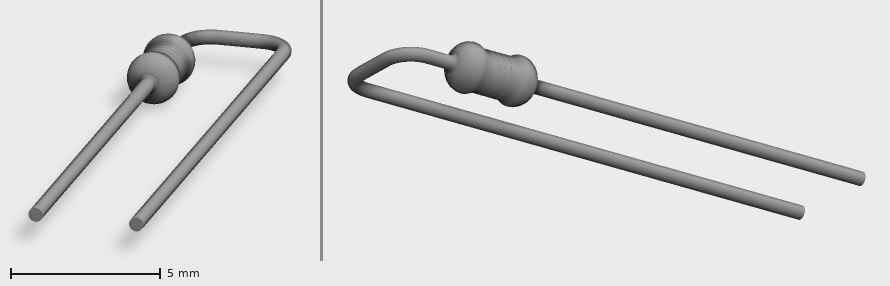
import cadquery as cq
import math

wire_diameter = 0.5
wire_radius = wire_diameter / 2
lead_spacing = 3.5
bend_radius = 1.0
overall_length = 19.05
body_center_to_top = 3.83

waist_radius = 1.52 / 2
cap_radius = 1.8 / 2
body_half_length = 1.75
neck_radius = 0.42
flare_radius = neck_radius - wire_radius
neck_y = body_half_length - flare_radius
cap_crown_y = 0.95
shoulder_radius = 0.82
shoulder_y = 0.72

band_radius = 1.55 / 2
band_count = 4
band_width = 0.124
waist_end_y = (band_count - 0.5) * band_width


def make_wire():
    top_y = body_center_to_top - wire_radius
    lead_end_y = body_center_to_top - overall_length
    bend_y = top_y - bend_radius
    bend_offset = bend_radius * math.sqrt(0.5)
    left_center_x = bend_radius
    right_center_x = lead_spacing - bend_radius
    path = (
        cq.Workplane("XY")
        .moveTo(0, lead_end_y)
        .lineTo(0, bend_y)
        .threePointArc((left_center_x - bend_offset, bend_y + bend_offset), (left_center_x, top_y))
        .lineTo(right_center_x, top_y)
        .threePointArc((right_center_x + bend_offset, bend_y + bend_offset), (lead_spacing, bend_y))
        .lineTo(lead_spacing, lead_end_y)
    )
    section = cq.Workplane("XZ", origin=(0, lead_end_y, 0)).circle(wire_radius)
    return section.sweep(path)


def axial_arc_middle(start, end):
    radial = end[0] - start[0]
    axial = end[1] - start[1]
    signed_radius = (radial**2 + axial**2) / (2 * radial)
    half_angle = math.copysign(math.atan2(abs(radial), abs(axial)), axial)
    return (
        start[0] + signed_radius * (1 - math.cos(half_angle)),
        start[1] + abs(signed_radius) * math.sin(half_angle),
    )


def make_end_cap():
    waist_end = (waist_radius, waist_end_y)
    shoulder = (shoulder_radius, shoulder_y)
    crown = (cap_radius, cap_crown_y)
    neck = (neck_radius, neck_y)
    flare_mid = (
        neck_radius - flare_radius * math.sqrt(0.5),
        body_half_length - flare_radius * math.sqrt(0.5),
    )
    profile = (
        cq.Workplane("XY")
        .moveTo(0, waist_end_y)
        .lineTo(waist_radius, waist_end_y)
        .threePointArc(axial_arc_middle(waist_end, shoulder), shoulder)
        .threePointArc(axial_arc_middle(crown, shoulder), crown)
        .threePointArc(axial_arc_middle(crown, neck), neck)
        .threePointArc(flare_mid, (wire_radius, body_half_length))
        .lineTo(0, body_half_length)
        .close()
    )
    return profile.revolve(360, (0, 0, 0), (0, 1, 0))


def make_disc(radius, length, center_y):
    plane = cq.Workplane("XZ", origin=(0, center_y + length / 2, 0))
    return plane.circle(radius).extrude(length)


end_cap = make_end_cap()
waist = make_disc(waist_radius, 2 * waist_end_y, 0)
result = waist.union(end_cap).union(end_cap.mirror("XZ"))

for index in range(band_count):
    band_y = (index - (band_count - 1) / 2) * 2 * band_width
    result = result.union(make_disc(band_radius, band_width, band_y))

result = result.union(make_wire())